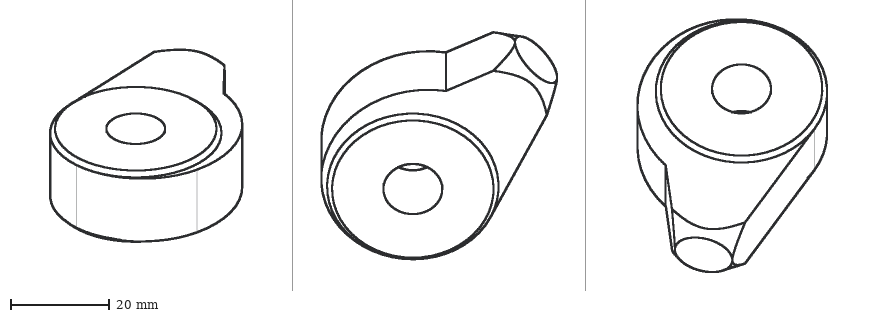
import cadquery as cq
import math

hub_radius = 17.5
hub_height = 17.0
hub_chamfer = 1.0
bore_radius = 6.0

overall_length = 53.6
tip_half_width = 6.0
plate_thickness = hub_height - 2 * hub_chamfer

cam_start_angle = math.radians(-113.5)
cam_joint_angle = math.radians(-34.3)
cam_first_radius = 19.35
cam_second_radius = 21.85

cam_lowest_y = (hub_radius - cam_first_radius) * math.sin(cam_start_angle) - cam_first_radius
tip_y = overall_length + cam_lowest_y


def polar(center, radius, angle):
    return (center[0] + radius * math.cos(angle), center[1] + radius * math.sin(angle))


def lever_outline():
    """Closed outline of arm, hub side and cam, running counterclockwise from the tip."""
    origin = (0.0, 0.0)

    corner_distance = math.hypot(tip_half_width, tip_y)
    corner_angle = math.atan2(tip_y, -tip_half_width)
    tangent_angle = corner_angle + math.acos(hub_radius / corner_distance)
    tangent_point = polar(origin, hub_radius, tangent_angle)
    hub_mid_angle = (tangent_angle + cam_start_angle + 2 * math.pi) / 2

    first_center = polar(origin, hub_radius - cam_first_radius, cam_start_angle)
    second_center = polar(first_center, cam_first_radius - cam_second_radius, cam_joint_angle)
    cam_start = polar(origin, hub_radius, cam_start_angle)
    cam_joint = polar(first_center, cam_first_radius, cam_joint_angle)
    first_mid_angle = (cam_start_angle + cam_joint_angle) / 2

    normal_angle = math.pi - tangent_angle
    center_distance = math.hypot(*second_center)
    center_offset = center_distance * math.cos(math.atan2(second_center[1], second_center[0]) - normal_angle)
    cam_end_angle = normal_angle + math.acos((hub_radius - center_offset) / cam_second_radius)
    cam_end = polar(second_center, cam_second_radius, cam_end_angle)
    second_mid_angle = (cam_joint_angle + cam_end_angle) / 2

    return (
        cq.Workplane("XY")
        .workplane(offset=-plate_thickness / 2)
        .moveTo(tip_half_width, tip_y)
        .lineTo(-tip_half_width, tip_y)
        .lineTo(*tangent_point)
        .threePointArc(polar(origin, hub_radius, hub_mid_angle), cam_start)
        .threePointArc(polar(first_center, cam_first_radius, first_mid_angle), cam_joint)
        .threePointArc(polar(second_center, cam_second_radius, second_mid_angle), cam_end)
        .close()
    )


def tip_cone():
    """45 degree cone about the Y axis that bevels the tip and encloses the rest of the lever."""
    cone_length = overall_length + hub_radius
    return (
        cq.Workplane("XY")
        .moveTo(0, tip_y)
        .lineTo(tip_half_width, tip_y)
        .lineTo(tip_half_width + cone_length, tip_y - cone_length)
        .lineTo(0, tip_y - cone_length)
        .close()
        .revolve(360, (0, 0, 0), (0, 1, 0))
    )


def hub():
    """Chamfered disc standing proud of both lever faces."""
    disc = cq.Workplane("XY").circle(hub_radius).extrude(hub_height / 2, both=True)
    return disc.edges("%CIRCLE").chamfer(hub_chamfer)


lever = lever_outline().extrude(plate_thickness).intersect(tip_cone())
bore = cq.Workplane("XY").circle(bore_radius).extrude(hub_height, both=True)
result = lever.union(hub()).cut(bore)